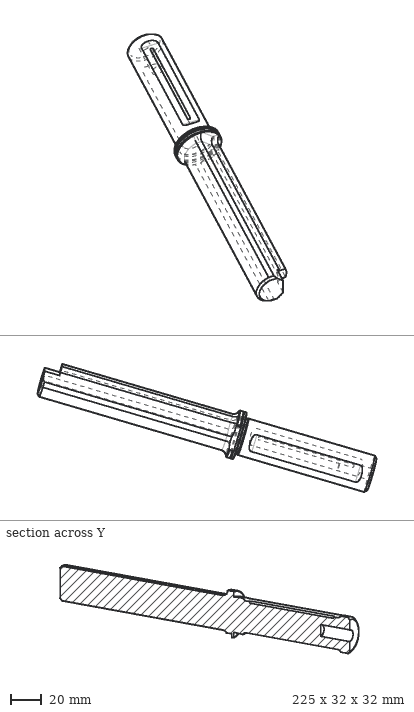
import cadquery as cq
import math

length = 225.0
shaft_radius = 25.0 / 2
end_chamfer = 1.5

collar_start = 90.0
collar_end = 95.0
collar_radius = 32.0 / 2
collar_chamfer = 0.5
groove_start = 91.8
groove_end = 92.5
groove_depth = 0.2
collar_flat_drop = 13.5
root_fillet = 4.0

relief_start = 87.8
relief_taper = 0.7
relief_radius = shaft_radius - 0.2

flat_height = 11.0
flat_start = 9.7
flat_end = 80.3
runout_radius = 3.2

oil_groove_start = 12.4
oil_groove_end = 77.8
oil_groove_radius = 1.01

bore_diameter = 7.6
bore_depth = 22.5

crown_height = 23.8 / 2
tongue_half_thickness = 8.5 / 2
notch_length = 10.1
notch_y = 5.8

clearance = 2 * collar_radius


def revolve_about_x(points):
    """Solid of revolution from (x, radius) points."""
    return cq.Workplane("XZ").polyline(points).close().revolve(360, (0, 0, 0), (1, 0, 0))


def disc(start, end, radius):
    return cq.Workplane("YZ", origin=(start, 0, 0)).circle(radius).extrude(end - start)


def make_journal():
    """Turned journal and collar, up to the right face of the collar."""
    groove_radius = collar_radius - groove_depth
    chamfered_radius = collar_radius - collar_chamfer
    return revolve_about_x([
        (0, 0),
        (0, shaft_radius - end_chamfer),
        (end_chamfer, shaft_radius),
        (relief_start, shaft_radius),
        (relief_start + relief_taper, relief_radius),
        (collar_start, relief_radius),
        (collar_start, chamfered_radius),
        (collar_start + collar_chamfer, collar_radius),
        (groove_start, collar_radius),
        (groove_start, groove_radius),
        (groove_end, groove_radius),
        (groove_end, collar_radius),
        (collar_end - collar_chamfer, collar_radius),
        (collar_end, chamfered_radius),
        (collar_end, 0),
    ])


def make_tongue_section():
    """Section beyond the collar: round towards -Y, a 45 degree wedge and a flat tongue towards +Y."""
    crown_y = -math.sqrt(shaft_radius**2 - crown_height**2)
    tongue_y = math.sqrt(shaft_radius**2 - tongue_half_thickness**2)
    wedge_y = crown_height - tongue_half_thickness
    return (
        cq.Workplane("YZ", origin=(collar_end, 0, 0))
        .moveTo(crown_y, crown_height)
        .lineTo(0, crown_height)
        .lineTo(wedge_y, tongue_half_thickness)
        .lineTo(tongue_y, tongue_half_thickness)
        .threePointArc((shaft_radius, 0), (tongue_y, -tongue_half_thickness))
        .lineTo(wedge_y, -tongue_half_thickness)
        .lineTo(0, -crown_height)
        .lineTo(crown_y, -crown_height)
        .threePointArc((-shaft_radius, 0), (crown_y, crown_height))
        .close()
        .extrude(length - collar_end)
    )


def bevel_far_end(section):
    """Chamfer the far end along the crowns and the round side, leaving the wedge and tongue sharp."""
    end_edges = section.faces(">X").edges().vals()
    bevelled_edges = [edge for edge in end_edges if edge.Center().y < 0]
    return section.newObject(bevelled_edges).chamfer(end_chamfer)


def make_filleted_tongue():
    """Tongue section with its root fillet, which is wider than the collar face and trimmed to it."""
    oversize_collar = disc(groove_end, collar_end, 2 * collar_radius)
    body = oversize_collar.union(bevel_far_end(make_tongue_section()))
    root_zone = cq.selectors.BoxSelector(
        (collar_end - collar_chamfer, -collar_radius, -collar_radius),
        (collar_end + collar_chamfer, collar_radius, collar_radius),
        boundingbox=True,
    )
    trim = disc(groove_end, length, collar_radius - collar_chamfer)
    return body.edges(root_zone).fillet(root_fillet).intersect(trim)


def make_notch():
    """Block that removes the tip of the tongue at the far end."""
    return cq.Workplane("XY", origin=(length - notch_length, notch_y, 0)).box(
        notch_length, clearance, clearance, centered=(False, False, True)
    )


def make_journal_flat():
    """Cutter for the top flat, curving up out of the journal at both ends."""
    arc_side = runout_radius * math.sin(math.radians(45))
    arc_rise = runout_radius - arc_side
    top = flat_height + runout_radius
    return (
        cq.Workplane("XZ")
        .moveTo(flat_start, flat_height)
        .lineTo(flat_end, flat_height)
        .threePointArc((flat_end + arc_side, flat_height + arc_rise), (flat_end + runout_radius, top))
        .lineTo(flat_start - runout_radius, top)
        .threePointArc((flat_start - arc_side, flat_height + arc_rise), (flat_start, flat_height))
        .close()
        .extrude(clearance, both=True)
    )


def make_oil_groove():
    """Capsule whose axis lies in the top flat."""
    first_centre = oil_groove_start + oil_groove_radius
    last_centre = oil_groove_end - oil_groove_radius
    capsule = disc(first_centre, last_centre, oil_groove_radius)
    for centre in (first_centre, last_centre):
        capsule = capsule.union(cq.Workplane("XY").sphere(oil_groove_radius).translate((centre, 0, 0)))
    return capsule.translate((0, 0, flat_height))


def make_collar_flat():
    """Block that flattens the underside of the collar behind its groove."""
    return cq.Workplane("XY", origin=(groove_start, 0, -collar_flat_drop - clearance)).box(
        clearance, clearance, clearance, centered=(False, True, False)
    )


shaft = make_journal().union(make_filleted_tongue())
top_flat = make_journal_flat()
cutters = [
    make_notch(),
    make_collar_flat(),
    top_flat,
    top_flat.mirror("XY"),
    make_oil_groove(),
    disc(0, bore_depth, bore_diameter / 2),
]
for cutter in cutters:
    shaft = shaft.cut(cutter)
result = shaft